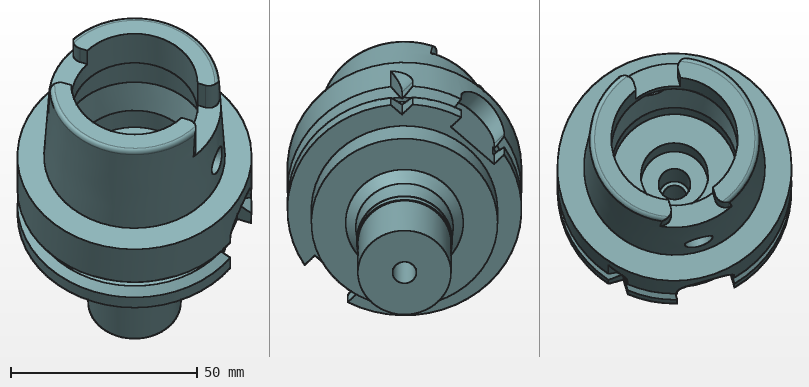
import cadquery as cq
import math

total_height = 97.0
flange_top = 65.0
flange_bottom = 39.0
skirt_bottom = 31.0
neck_cone_bottom = 28.0
holder_bottom = 21.2
ring_top = 20.6
ring_bottom = 18.5

taper_base_radius = 24.3
taper_slope = 1 / 20
taper_top_radius = taper_base_radius - taper_slope * (total_height - flange_top)
rim_fillet = 1.3

flange_diameter = 63.0
flange_radius = flange_diameter / 2
groove_middle = 46.9
groove_floor_radius = 27.5
groove_floor_height = 3.7
groove_mouth_height = 6.8
groove_lip_radius = 28.8
skirt_radius = 25.0
neck_base_radius = 15.8
neck_radius = 13.1
neck_end_radius = 12.6

mouth_radius = 17.0
mouth_depth = 13.0
chamber_radius = 20.1
chamber_bottom = 71.3
chamber_cone_angle = 20.0
chamber_cone_height = (chamber_radius - mouth_radius) / math.tan(math.radians(chamber_cone_angle))
chamber_floor = 55.3
coolant_seat_radius = 9.0
coolant_seat_depth = 9.7
holder_bore_radius = 4.3

access_hole_radius = 3.9
access_hole_height = 73.9
drive_slot_width = 12.4
drive_slot_corner = 2.8
drive_lug_half_length = 20.8
drive_slot_floors = {-1: 90.9, 1: 87.1}
keyway_width = 16.0
keyway_top = 59.9
keyway_flat = 26.5
notch_flat = 20.1
notch_side = 20.1
notch_arch_radius = 7.6
notch_arch_height = 53.3

ring_radius = 12.8
pin_radius = 12.5
stem_radius = 9.5
stem_top = skirt_bottom
pin_bore_radius = 3.2


def revolved(profile):
    """Revolve a closed (radius, height) outline about the Z axis."""
    return cq.Workplane("XZ").polyline(profile).close().revolve(360, (0, 0), (0, 1))


def cylinder(radius, bottom, top):
    return cq.Workplane("XY").workplane(offset=bottom).circle(radius).extrude(top - bottom)


def box(x_range, y_range, z_range):
    """Box between two limits along each axis."""
    sizes = [high - low for low, high in (x_range, y_range, z_range)]
    corner = (x_range[0], y_range[0], z_range[0])
    return cq.Workplane("XY").box(*sizes, centered=False).translate(corner)


def holder_blank():
    """Turned outside of the holder: taper, flange, skirt and neck."""
    taper = revolved([
        (0, flange_top),
        (taper_base_radius, flange_top),
        (taper_top_radius, total_height),
        (0, total_height),
    ]).faces(">Z").edges().fillet(rim_fillet)
    flange = cylinder(flange_radius, flange_bottom, flange_top)
    skirt = cylinder(skirt_radius, skirt_bottom, flange_bottom)
    neck = revolved([
        (0, holder_bottom),
        (neck_end_radius, holder_bottom),
        (neck_radius, neck_cone_bottom),
        (neck_base_radius, skirt_bottom),
        (0, skirt_bottom),
    ])
    return taper.union(flange).union(skirt).union(neck)


def gripper_groove():
    """Ring removed from the flange: a square groove with a bevelled mouth."""
    half_floor = groove_floor_height / 2
    half_mouth = groove_mouth_height / 2
    return revolved([
        (groove_floor_radius, groove_middle - half_floor),
        (groove_lip_radius, groove_middle - half_floor),
        (flange_radius, groove_middle - half_mouth),
        (flange_radius, groove_middle + half_mouth),
        (groove_lip_radius, groove_middle + half_floor),
        (groove_floor_radius, groove_middle + half_floor),
    ])


def clamping_chamber():
    """Undercut chamber coned back to the mouth radius, with the coolant seat in its floor."""
    shoulder = total_height - mouth_depth
    chamber = revolved([
        (0, chamber_floor),
        (mouth_radius, chamber_floor),
        (mouth_radius, chamber_bottom - chamber_cone_height),
        (chamber_radius, chamber_bottom),
        (chamber_radius, shoulder),
        (mouth_radius, shoulder),
        (mouth_radius, total_height),
        (0, total_height),
    ])
    seat = cylinder(coolant_seat_radius, chamber_floor - coolant_seat_depth, chamber_floor)
    return chamber.union(seat)


def access_hole():
    """Cross hole along X through both walls of the taper."""
    return (
        cq.Workplane("YZ")
        .center(0, access_hole_height)
        .circle(access_hole_radius)
        .extrude(taper_base_radius, both=True)
    )


def drive_slot(side):
    """Slot across the taper rim on one X side, which also cuts the lug ends flat."""
    z_range = (drive_slot_floors[side], total_height)
    half_width = drive_slot_width / 2
    slot = box((0, drive_lug_half_length), (-half_width, half_width), z_range)
    outside = box(
        (drive_lug_half_length, flange_radius),
        (-flange_radius, flange_radius),
        z_range,
    )
    lug_corners = cq.selectors.BoxSelector(
        (drive_lug_half_length / 2, -drive_slot_width, z_range[0]),
        (drive_lug_half_length + half_width, drive_slot_width, z_range[1]),
    )
    cutter = slot.union(outside).edges("|Z").edges(lug_corners).fillet(drive_slot_corner)
    return cutter if side > 0 else cutter.mirror("YZ")


def arched_cutter(middle_y, radius, arch_height, flat):
    """Round-topped slot, open at the flange underside, cut from +X down to a flat."""
    return (
        cq.Workplane("YZ")
        .workplane(offset=flat)
        .moveTo(middle_y - radius, flange_bottom)
        .lineTo(middle_y - radius, arch_height)
        .threePointArc((middle_y, arch_height + radius), (middle_y + radius, arch_height))
        .lineTo(middle_y + radius, flange_bottom)
        .close()
        .extrude(flange_radius - flat)
    )


def build_holder():
    keyway_radius = keyway_width / 2
    keyway = arched_cutter(0, keyway_radius, keyway_top - keyway_radius, keyway_flat)
    notch_middle = notch_side + notch_arch_radius
    notch = arched_cutter(notch_middle, notch_arch_radius, notch_arch_height, notch_flat)
    holder = (
        holder_blank()
        .cut(gripper_groove())
        .cut(clamping_chamber())
        .cut(access_hole())
        .cut(keyway)
        .cut(keyway.mirror("YZ"))
        .cut(notch.mirror("YZ"))
        .cut(cylinder(holder_bore_radius, stem_top, chamber_floor))
        .cut(cylinder(stem_radius, holder_bottom, stem_top))
    )
    for side in drive_slot_floors:
        holder = holder.cut(drive_slot(side))
    return holder


def build_ring():
    """Washer around the stem, resting on the shoulder of the pin."""
    disc = cylinder(ring_radius, ring_bottom, ring_top)
    return disc.cut(cylinder(stem_radius, ring_bottom, ring_top))


def build_pin():
    """Pin whose stem passes through the ring into the holder, bored end to end."""
    body = cylinder(pin_radius, 0, ring_bottom)
    stem = cylinder(stem_radius, ring_bottom, stem_top)
    return body.union(stem).cut(cylinder(pin_bore_radius, 0, stem_top))


holder = build_holder()
ring = build_ring()
pin = build_pin()

result = cq.Compound.makeCompound([holder.val(), ring.val(), pin.val()])